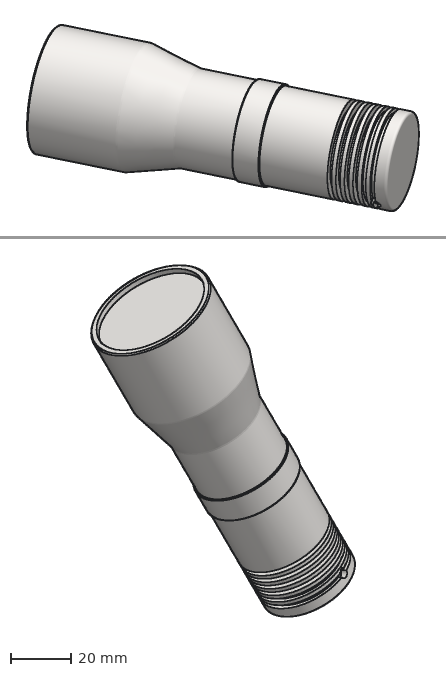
import cadquery as cq


total_length = 124.85

head_radius = 22.0
head_length = 31.6
head_chamfer = 0.5

cone_end = 50.1
cone_blend_radius = 2.5

tube_radius = 17.0
tail_fillet = 1.0

lens_radius = 19.75
lens_depth = 2.0

collar_start = 70.6
collar_length = 9.6
collar_radius = 17.5
collar_chamfer = 0.3

groove_start = 104.0
groove_width = 1.5
groove_pitch = 3.0
deep_groove_count = 4
deep_groove_radius = 14.0
shallow_groove_count = 2
shallow_groove_radius = 15.5

lanyard_hole_x = 120.2
lanyard_hole_radius = 1.75
lanyard_hole_angle = 30.0
lanyard_hole_floor = 14.5


def x_cylinder(start, length, radius):
    """Solid cylinder about the X axis, beginning at X = start."""
    return cq.Workplane("YZ", origin=(start, 0, 0)).circle(radius).extrude(length)


def joint_at(x, radius):
    """Selector for the circular edge around the X axis at the given X."""
    margin = 0.1
    corner = radius + margin
    return cq.selectors.BoxSelector(
        (x - margin, -corner, -corner), (x + margin, corner, corner), boundingbox=True
    )


def make_body():
    """Head, cone and tube revolved as a single profile, with rounded joints."""
    profile = (
        cq.Workplane("XY")
        .lineTo(0, head_radius - head_chamfer)
        .lineTo(head_chamfer, head_radius)
        .lineTo(head_length, head_radius)
        .lineTo(cone_end, tube_radius)
        .lineTo(total_length, tube_radius)
        .lineTo(total_length, 0)
        .close()
    )
    body = profile.revolve(360, (0, 0, 0), (1, 0, 0))
    cone_joints = joint_at(head_length, head_radius) + joint_at(cone_end, tube_radius)
    body = body.edges(cone_joints).fillet(cone_blend_radius)
    return body.faces(">X").edges().fillet(tail_fillet)


def make_collar():
    """Slightly raised band around the middle of the tube."""
    collar = x_cylinder(collar_start, collar_length, collar_radius)
    return collar.faces("<X or >X").edges().chamfer(collar_chamfer)


def make_lens_recess():
    """Round recess in the front face of the head."""
    return x_cylinder(0, lens_depth, lens_radius)


def cut_grooves(body):
    """Row of ring grooves, deep ones first and shallow ones near the tail."""
    floor_radii = [deep_groove_radius] * deep_groove_count
    floor_radii += [shallow_groove_radius] * shallow_groove_count
    for index, floor_radius in enumerate(floor_radii):
        start = groove_start + index * groove_pitch
        ring = x_cylinder(start, groove_width, head_radius)
        core = x_cylinder(start, groove_width, floor_radius)
        body = body.cut(ring.cut(core))
    return body


def make_lanyard_hole():
    """Blind radial hole across the last groove, low on the -Y side."""
    floor_plane = cq.Workplane("XZ", origin=(lanyard_hole_x, -lanyard_hole_floor, 0))
    hole = floor_plane.circle(lanyard_hole_radius).extrude(tube_radius)
    return hole.rotate((0, 0, 0), (1, 0, 0), lanyard_hole_angle)


body = make_body().union(make_collar())
body = body.cut(make_lens_recess())
body = cut_grooves(body)
result = body.cut(make_lanyard_hole())